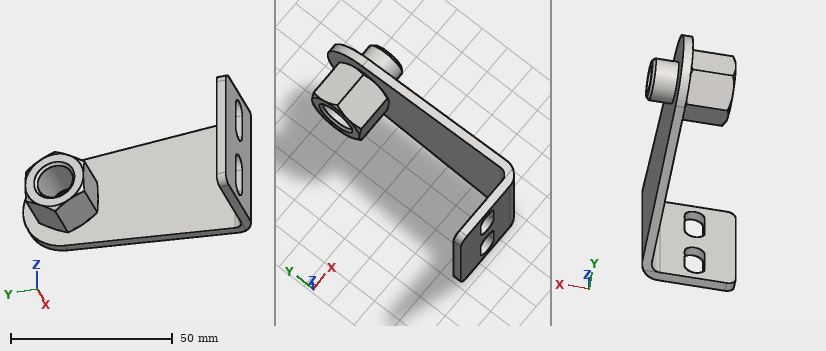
import cadquery as cq
import math

length = 74.95
height = 40.0
foot_length = 30.0
thickness = 3.0
inner_bend_radius = 3.0
outer_bend_radius = inner_bend_radius + thickness
foot_corner_radius = 3.0
head_radius = 15.0
head_y = length - head_radius

slot_width = 6.4
slot_length = 14.0
slot_x = -17.0
slot_spacing = height / 2

nut_flats = 18.95
nut_length = 14.5
nut_chamfer_angle = 30.0
spigot_diameter = 13.2
spigot_length = 8.0
spigot_chamfer = 0.9

thread_diameter = 11.5
step_chamfer_diameter = 10.05
bore_diameter = 8.0

nut_face_x = -thickness - nut_length


def make_bent_strip():
    """Full-height L strip with a rounded bend."""
    strip = (
        cq.Workplane("XY")
        .polyline([
            (-foot_length, 0),
            (0, 0),
            (0, length),
            (-thickness, length),
            (-thickness, thickness),
            (-foot_length, thickness),
        ])
        .close()
        .extrude(height / 2, both=True)
    )
    strip = strip.edges(cq.selectors.NearestToPointSelector((0, 0, 0))).fillet(outer_bend_radius)
    inner_corner = (-thickness, thickness, 0)
    strip = strip.edges(cq.selectors.NearestToPointSelector(inner_corner)).fillet(inner_bend_radius)
    return strip.edges("|Y and <X").fillet(foot_corner_radius)


def make_side_outline():
    """Prism of the side outline: full-height foot, tapered plate, round head."""
    run = head_y - thickness
    distance = math.hypot(run, height / 2)
    tangent_angle = math.atan2(height / 2, -run) - math.acos(head_radius / distance)
    tangent_y = head_y + head_radius * math.cos(tangent_angle)
    tangent_z = head_radius * math.sin(tangent_angle)
    return (
        cq.Workplane("YZ")
        .moveTo(0, -height / 2)
        .lineTo(thickness, -height / 2)
        .lineTo(tangent_y, -tangent_z)
        .threePointArc((length, 0), (tangent_y, tangent_z))
        .lineTo(thickness, height / 2)
        .lineTo(0, height / 2)
        .close()
        .extrude(-foot_length)
    )


def make_slots():
    """Two upright slots through the foot."""
    return (
        cq.Workplane("XZ")
        .pushPoints([(slot_x, -slot_spacing / 2), (slot_x, slot_spacing / 2)])
        .slot2D(slot_length, slot_width, 90)
        .extrude(-thickness)
    )


def revolve_on_nut_axis(profile):
    """Revolve an (x, radius) profile about the nut axis."""
    return (
        cq.Workplane("XY")
        .polyline(profile)
        .close()
        .revolve(360, (0, 0, 0), (1, 0, 0))
        .translate((0, head_y, 0))
    )


def make_nut():
    """Hexagon with points up and down, its corners chamfered at both ends."""
    flat_radius = nut_flats / 2
    corner_radius = flat_radius / math.cos(math.pi / 6)
    chamfer_depth = (corner_radius - flat_radius) * math.tan(math.radians(nut_chamfer_angle))
    hexagon = (
        cq.Workplane("YZ", origin=(nut_face_x, head_y, 0))
        .transformed(rotate=(0, 0, 90))
        .polygon(6, 2 * corner_radius)
        .extrude(nut_length)
    )
    envelope = revolve_on_nut_axis([
        (nut_face_x, 0),
        (nut_face_x, flat_radius),
        (nut_face_x + chamfer_depth, corner_radius),
        (-thickness - chamfer_depth, corner_radius),
        (-thickness, flat_radius),
        (-thickness, 0),
    ])
    return hexagon.intersect(envelope)


def make_spigot():
    """Round spigot through the plate, chamfered at its free end."""
    return (
        cq.Workplane("YZ", origin=(-thickness, head_y, 0))
        .circle(spigot_diameter / 2)
        .extrude(thickness + spigot_length)
        .faces(">X")
        .chamfer(spigot_chamfer)
    )


def make_bore():
    """Chamfered thread bore in the nut, then a chamfered narrower bore right through."""
    entry_depth = (spigot_diameter - thread_diameter) / 2
    step_depth = (step_chamfer_diameter - bore_diameter) / 2
    return revolve_on_nut_axis([
        (nut_face_x, 0),
        (nut_face_x, spigot_diameter / 2),
        (nut_face_x + entry_depth, thread_diameter / 2),
        (-thickness, thread_diameter / 2),
        (-thickness, step_chamfer_diameter / 2),
        (-thickness + step_depth, bore_diameter / 2),
        (spigot_length, bore_diameter / 2),
        (spigot_length, 0),
    ])


bracket = make_bent_strip().intersect(make_side_outline()).cut(make_slots())
result = bracket.union(make_nut()).union(make_spigot()).cut(make_bore())